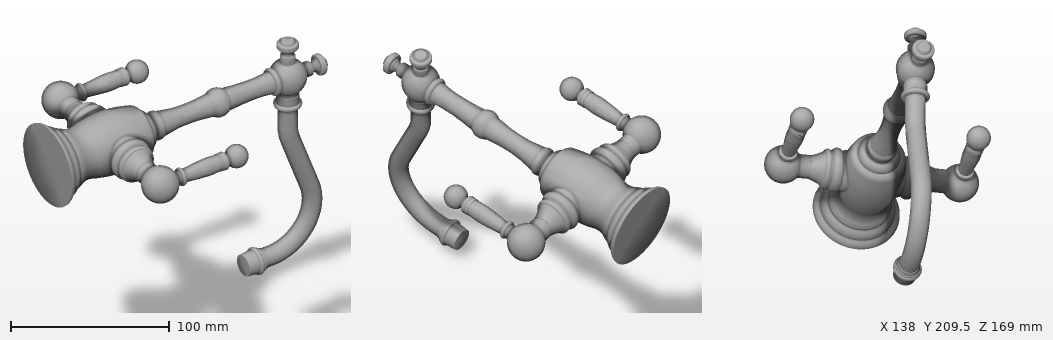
import cadquery as cq
import math


overall_length = 209.5
overall_width = 138.0

foot_radius = 28.0
belly_radius = 20.5

head_ball_radius = 12.4
head_reach = 28.0
head_y = overall_length - head_reach

handle_ball_radius = 12.1
handle_x = overall_width / 2 - handle_ball_radius
handle_y = 47.3

bead_radius = 9.2
pipe_radius = 6.5
spout_tilt = math.radians(20)
spout_bend_start_z = -37.7
spout_bend_radius = 32.7
spout_incline_end_z = -88.8
nozzle_z = -131.8
nozzle_tip_y = 147.9
nozzle_root_y = 162.5


def outline(base_radius, base):
    """Start a half profile (radius, position along the axis) with its first end face."""
    return cq.Workplane("XY").moveTo(0, base).lineTo(base_radius, base)


def turn(profile, end):
    """Close a half profile on the Y axis at its far end and revolve it."""
    return profile.lineTo(0, end).close().revolve(360, (0, 0, 0), (0, 1, 0))


def ball(radius, x, y):
    return cq.Workplane("XY").sphere(radius).translate((x, y, 0))


def make_column():
    """Stepped foot, barrel body and slender stem, turned in one piece about Y."""
    bulge_radius = 9.6
    profile = (
        outline(foot_radius, 0)
        .threePointArc((27.0, 2.7), (24.3, 4.6))
        .threePointArc((23.5, 8.0), (20.7, 10.9))
        .lineTo(belly_radius, 10.9)
        .lineTo(belly_radius, 12.8)
        .lineTo(19.7, 15.0)
        .threePointArc((17.5, 20.1), (17.5, 26.5))
        .threePointArc((belly_radius, handle_y), (18.0, 67.0))
        .threePointArc((17.0, 69.3), (14.9, 70.8))
        .lineTo(13.6, 70.8)
        .threePointArc((13.0, 73.3), (10.9, 75.5))
        .lineTo(8.5, 75.5)
        .lineTo(8.5, 78.3)
        .threePointArc((bulge_radius, 80.9), (8.5, 84.0))
        .spline([(7.1, 93.0), (6.5, 106.8), (7.5, 120.6)], includeCurrent=True)
        .lineTo(7.5, 122.0)
        .lineTo(8.0, 123.2)
        .threePointArc((bulge_radius, 128.2), (8.0, 133.2))
        .lineTo(7.5, 133.6)
        .lineTo(7.5, 135.3)
        .spline([(6.7, 146.6), (6.5, 155.0), (7.3, 168.0)], includeCurrent=True)
        .lineTo(8.2, 168.0)
        .threePointArc((bead_radius, 169.9), (8.2, 171.8))
    )
    return turn(profile, head_y)


def make_knob():
    """Finial knob along +Y from the head ball's centre."""
    disc_radius = 7.1
    stem_radius = 5.0
    profile = (
        outline(stem_radius, 0)
        .lineTo(stem_radius, 15.0)
        .lineTo(4.8, 16.5)
        .lineTo(4.0, 16.5)
        .threePointArc((3.4, 18.5), (4.0, 20.5))
        .lineTo(4.6, 20.5)
        .lineTo(4.6, 21.8)
        .lineTo(6.5, 21.8)
        .threePointArc((7.0, 22.2), (disc_radius, 23.0))
        .lineTo(disc_radius, 24.5)
        .threePointArc((7.0, 25.3), (6.0, 26.0))
        .lineTo(4.8, 26.0)
        .threePointArc((4.5, 27.0), (3.4, head_reach))
    )
    return turn(profile, head_reach)


def make_hub():
    """Handle hub along +Y, from the column axis out to the handle ball."""
    root_radius = 13.2
    neck_radius = 7.5
    groove_radius = 7.3
    profile = (
        outline(root_radius, 0)
        .lineTo(root_radius, 16.8)
        .threePointArc((13.0, 18.6), (12.1, 20.1))
        .threePointArc((14.0, 23.5), (12.1, 26.8))
        .lineTo(12.1, 27.9)
        .threePointArc((12.8, 29.5), (12.0, 31.5))
        .lineTo(11.3, 31.6)
        .threePointArc((8.8, 36.2), (neck_radius, 40.5))
        .lineTo(groove_radius, 40.5)
        .lineTo(groove_radius, 41.0)
        .lineTo(neck_radius, 41.0)
        .lineTo(neck_radius, handle_x)
    )
    return turn(profile, handle_x)


def make_lever():
    """Lever grip along +Y, beaded at both ends, with a ball on its tip."""
    tip_ball_radius = 7.8
    tip_ball_y = 105.0
    lever_bead_radius = 6.0
    neck_radius = 4.8
    profile = (
        outline(neck_radius, handle_y)
        .lineTo(neck_radius, 61.5)
        .lineTo(5.5, 61.5)
        .threePointArc((lever_bead_radius, 62.8), (5.5, 64.0))
        .lineTo(4.5, 64.0)
        .lineTo(4.5, 65.0)
        .spline([(5.2, 73.7), (5.9, 82.7), (5.5, 91.1)], includeCurrent=True)
        .lineTo(5.9, 91.1)
        .lineTo(5.9, 93.5)
        .lineTo(5.5, 93.5)
        .threePointArc((lever_bead_radius, 94.9), (5.5, 96.4))
        .lineTo(3.8, 97.6)
        .lineTo(3.8, tip_ball_y)
    )
    return turn(profile, tip_ball_y).union(ball(tip_ball_radius, 0, tip_ball_y))


def make_handle():
    """Hub along +X with the ball and its lever."""
    hub = make_hub().rotate((0, 0, 0), (0, 0, 1), -90).translate((0, handle_y, 0))
    lever = make_lever().translate((handle_x, 0, 0))
    return hub.union(ball(handle_ball_radius, handle_x, handle_y)).union(lever)


def make_spout_socket():
    """Socket along +Y from the head ball's centre, which holds the pipe."""
    throat_radius = 7.0
    sleeve_radius = 7.5
    socket_end = 22.0
    profile = (
        outline(throat_radius, 0)
        .lineTo(throat_radius, 12.5)
        .lineTo(sleeve_radius, 12.5)
        .lineTo(sleeve_radius, 18.6)
        .lineTo(8.2, 18.6)
        .threePointArc((bead_radius, 20.3), (8.2, socket_end))
    )
    return turn(profile, socket_end)


def make_pipe():
    """S-shaped pipe in the YZ plane: down, tilted away from the column, then round to the nozzle."""
    sin_tilt = math.sin(spout_tilt)
    cos_tilt = math.cos(spout_tilt)

    bend_end_y = head_y + spout_bend_radius * (1 - cos_tilt)
    bend_end_z = spout_bend_start_z - spout_bend_radius * sin_tilt

    incline_end_y = bend_end_y + (bend_end_z - spout_incline_end_z) * math.tan(spout_tilt)

    hook_radius = (spout_incline_end_z - nozzle_z) / (1 + sin_tilt)
    hook_y = incline_end_y - hook_radius * cos_tilt
    hook_z = nozzle_z + hook_radius
    hook_middle = (math.pi / 2 + spout_tilt) / 2 - spout_tilt
    bend_middle = spout_tilt / 2

    path = (
        cq.Workplane("YZ")
        .moveTo(head_y, 0)
        .lineTo(head_y, spout_bend_start_z)
        .threePointArc(
            (
                head_y + spout_bend_radius * (1 - math.cos(bend_middle)),
                spout_bend_start_z - spout_bend_radius * math.sin(bend_middle),
            ),
            (bend_end_y, bend_end_z),
        )
        .lineTo(incline_end_y, spout_incline_end_z)
        .threePointArc(
            (
                hook_y + hook_radius * math.cos(hook_middle),
                hook_z - hook_radius * math.sin(hook_middle),
            ),
            (hook_y, nozzle_z),
        )
        .lineTo(nozzle_root_y, nozzle_z)
    )
    return cq.Workplane("XY").center(0, head_y).circle(pipe_radius).sweep(path)


def make_nozzle():
    """Flared nozzle with a bead, its axis parallel to Y."""
    tip_radius = 7.3
    profile = (
        outline(tip_radius, nozzle_tip_y)
        .lineTo(8.0, 155.5)
        .threePointArc((bead_radius, 157.0), (8.2, 158.8))
        .lineTo(8.2, 159.8)
        .lineTo(7.5, 159.8)
        .lineTo(7.0, nozzle_root_y)
        .lineTo(pipe_radius, nozzle_root_y)
    )
    return turn(profile, nozzle_root_y).translate((0, 0, nozzle_z))


column = make_column().union(ball(head_ball_radius, 0, head_y))

head_centre = (0, head_y, 0)
knob = make_knob()
for turn_angle in (0, 90):
    column = column.union(knob.rotate((0, 0, 0), (1, 0, 0), turn_angle).translate(head_centre))

socket = make_spout_socket().rotate((0, 0, 0), (1, 0, 0), -90).translate(head_centre)
spout = make_pipe().union(socket).union(make_nozzle())

handle = make_handle()
result = column.union(spout).union(handle).union(handle.mirror("YZ"))